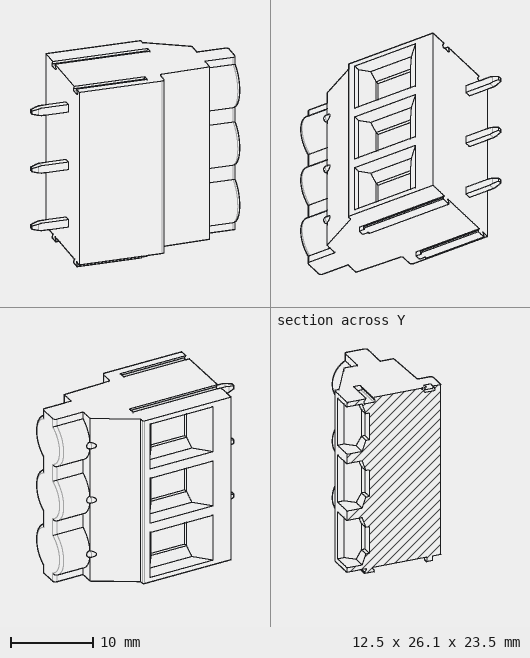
import cadquery as cq
import math


POLES = 3
PITCH = 7.62
BODY_WIDTH = 12.5
BODY_HEIGHT = POLES * PITCH
BODY_TOP = 21.5
SHOULDER = 17.5
ENTRY_LEDGE = 12.2
ENTRY_LEDGE_WIDTH = 0.63
ENTRY_LEDGE_RADIUS = 0.2
REAR_LEDGE = 11.0
REAR_LEDGE_RADIUS = 0.4
FRONT_SLOPE_ANGLE = 30
FRONT_SLOPE_RUN = (SHOULDER - ENTRY_LEDGE) * math.tan(math.radians(FRONT_SLOPE_ANGLE))
SHOULDER_LEFT = ENTRY_LEDGE_WIDTH + FRONT_SLOPE_RUN
SHOULDER_RIGHT = 10.3
REAR_FOOT = 10.53
REAR_FOOT_RADIUS = 0.25

TOWER_X = 7.0
TOWER_RADIUS = 3.23
WEB_THICKNESS = 3.0
TOP_RADIUS = 0.37

STUD_RADIUS = 0.45
STUD_X = 3.76
STUD_FOOT = 16.85

ENTRY_LOW = 2.5
ENTRY_HIGH = 11.22
ENTRY_HEIGHT = 6.3
THROAT_LOW = 4.81
THROAT_HIGH = 9.72
THROAT_HEIGHT = 3.52
FUNNEL_DEPTH = 2.5
FUNNEL_TAPER_START = 2.0
ENTRY_STRAIGHT_DEPTH = 0.88
THROAT_DEPTH = 2.96

DOVETAILS = [(3.0, ENTRY_LEDGE), (11.0, 9.07)]
RIB_HEIGHT = 0.6
RIB_NECK = 0.8
RIB_HEAD = 1.28
RIB_HEAD_EDGE = 0.22
RIB_LEAD = 0.77
SLOT_DEPTH = 0.65
SLOT_MOUTH = 0.87
SLOT_FLOOR = 1.45
SLOT_FLOOR_EDGE = 0.22
SLOT_FLOOR_RADIUS = 0.15

PIN_X = 7.93
PIN_LENGTH = 4.6
PIN_WIDTH = 0.85
PIN_HEIGHT = 1.0
PIN_TIP_WIDTH = 0.5
PIN_TIP_HEIGHT = 0.45
PIN_TAPER_X = 3.85
PIN_TAPER_Z = 3.45

OVERLAP = 0.5


def pole_centres():
    return [(i + 0.5) * PITCH for i in range(POLES)]


def round_edge(solid, x, y, radius):
    """Fillet the Z-parallel edge passing through (x, y)."""
    return solid.edges(cq.NearestToPointSelector((x, y, BODY_HEIGHT / 2))).fillet(radius)


def make_body():
    body = (
        cq.Workplane("XY")
        .polyline([
            (0, 0),
            (BODY_WIDTH, 0),
            (BODY_WIDTH, REAR_LEDGE),
            (REAR_FOOT, REAR_LEDGE),
            (SHOULDER_RIGHT, SHOULDER),
            (SHOULDER_LEFT, SHOULDER),
            (ENTRY_LEDGE_WIDTH, ENTRY_LEDGE),
            (0, ENTRY_LEDGE),
        ])
        .close()
        .extrude(BODY_HEIGHT)
    )

    body = round_edge(body, 0, ENTRY_LEDGE, ENTRY_LEDGE_RADIUS)
    body = round_edge(body, BODY_WIDTH, REAR_LEDGE, REAR_LEDGE_RADIUS)
    return round_edge(body, REAR_FOOT, REAR_LEDGE, REAR_FOOT_RADIUS)


def make_web():
    height = BODY_TOP - SHOULDER + OVERLAP
    return (
        cq.Workplane("XY")
        .box(WEB_THICKNESS, height, BODY_HEIGHT, centered=(True, False, False))
        .translate((TOWER_X, SHOULDER - OVERLAP, 0))
        .edges("|Z and >Y")
        .fillet(TOP_RADIUS)
    )


def make_tower(z):
    return (
        cq.Workplane("XZ", origin=(TOWER_X, SHOULDER - OVERLAP, z))
        .circle(TOWER_RADIUS)
        .extrude(-(BODY_TOP - SHOULDER + OVERLAP))
        .faces(">Y")
        .edges()
        .fillet(TOP_RADIUS)
    )


def make_stud(z):
    """Round-ended stud standing along Y, half sunk in the sloped face."""
    stem = (
        cq.Workplane("XZ", origin=(STUD_X, STUD_FOOT, z))
        .circle(STUD_RADIUS)
        .extrude(STUD_FOOT - SHOULDER)
    )
    dome = cq.Workplane("XY", origin=(STUD_X, SHOULDER, z)).sphere(STUD_RADIUS)
    return stem.union(dome)


def make_entry(z):
    funnel_side = (
        cq.Workplane("XY")
        .polyline([
            (0, ENTRY_LOW),
            (FUNNEL_DEPTH, THROAT_LOW),
            (FUNNEL_DEPTH, THROAT_HIGH),
            (ENTRY_STRAIGHT_DEPTH, ENTRY_HIGH),
            (0, ENTRY_HIGH),
        ])
        .close()
        .extrude(ENTRY_HEIGHT / 2, both=True)
    )
    funnel_plan = (
        cq.Workplane("XZ")
        .polyline([
            (0, -ENTRY_HEIGHT / 2),
            (FUNNEL_TAPER_START, -ENTRY_HEIGHT / 2),
            (FUNNEL_DEPTH, -THROAT_HEIGHT / 2),
            (FUNNEL_DEPTH, THROAT_HEIGHT / 2),
            (FUNNEL_TAPER_START, ENTRY_HEIGHT / 2),
            (0, ENTRY_HEIGHT / 2),
        ])
        .close()
        .extrude(-BODY_TOP)
    )
    throat = (
        cq.Workplane("XY")
        .box(THROAT_DEPTH, THROAT_HIGH - THROAT_LOW, THROAT_HEIGHT, centered=(False, False, True))
        .translate((0, THROAT_LOW, 0))
    )
    return funnel_side.intersect(funnel_plan).union(throat).translate((0, 0, z))


def dovetail_prism(x, z, neck, head, height, head_edge, length):
    """Dovetail standing down from height z, running along Y from the seating face."""
    return (
        cq.Workplane("XZ", origin=(x, 0, z))
        .polyline([
            (-neck / 2, 0),
            (-head / 2, head_edge - height),
            (-head / 2, -height),
            (head / 2, -height),
            (head / 2, head_edge - height),
            (neck / 2, 0),
        ])
        .close()
        .extrude(-length)
    )


def make_slot(x, length):
    slot = dovetail_prism(
        x, BODY_HEIGHT, SLOT_MOUTH, SLOT_FLOOR, SLOT_DEPTH, SLOT_FLOOR_EDGE, length
    )
    return slot.faces("<Z").edges("|Y").fillet(SLOT_FLOOR_RADIUS)


def make_rib(x, length):
    dovetail = dovetail_prism(
        x, 0, RIB_NECK, RIB_HEAD, RIB_HEIGHT, RIB_HEAD_EDGE, length - RIB_LEAD
    )
    lead = (
        cq.Workplane("XY")
        .box(RIB_NECK, length, RIB_HEIGHT, centered=(True, False, False))
        .translate((x, 0, -RIB_HEIGHT))
    )
    return dovetail.union(lead)


def pin_profile(plane, width, tip_width, taper_start):
    """Tapered pin outline, as (offset across, Y), extruded to both sides."""
    return (
        cq.Workplane(plane)
        .polyline([
            (-width / 2, OVERLAP),
            (-width / 2, -taper_start),
            (-tip_width / 2, -PIN_LENGTH),
            (tip_width / 2, -PIN_LENGTH),
            (width / 2, -taper_start),
            (width / 2, OVERLAP),
        ])
        .close()
        .extrude(PIN_HEIGHT, both=True)
    )


def make_pin(z):
    across_x = pin_profile("XY", PIN_WIDTH, PIN_TIP_WIDTH, PIN_TAPER_X)
    across_z = pin_profile("ZY", PIN_HEIGHT, PIN_TIP_HEIGHT, PIN_TAPER_Z)
    return across_x.intersect(across_z).translate((PIN_X, 0, z))


result = make_body().union(make_web())
for centre in pole_centres():
    result = result.union(make_tower(centre)).union(make_stud(centre))
    result = result.cut(make_entry(centre)).union(make_pin(centre))
for rail_x, rail_length in DOVETAILS:
    result = result.cut(make_slot(rail_x, rail_length)).union(make_rib(rail_x, rail_length))